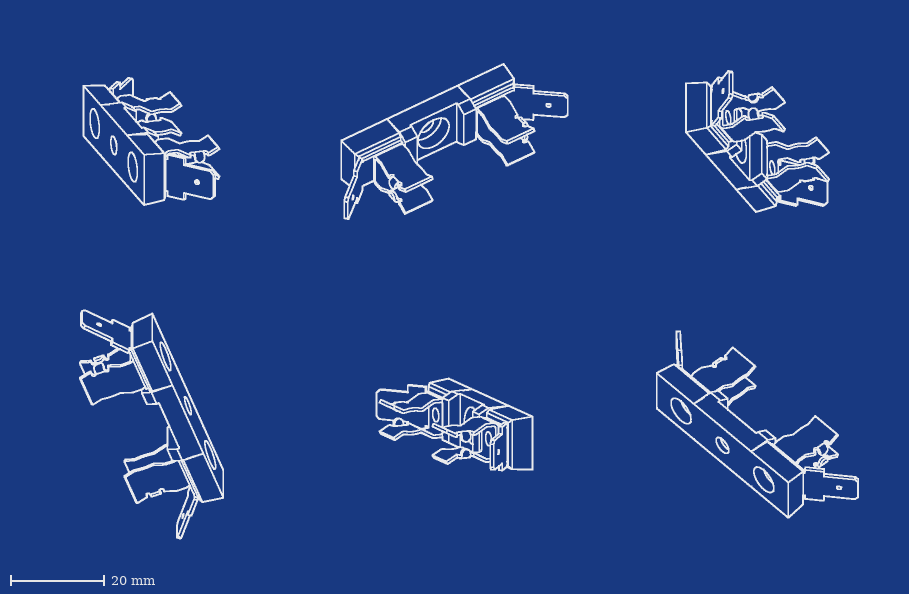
import cadquery as cq
import math

BASE_LENGTH = 41.9
BASE_WIDTH = 11.65
SEAT_TAPER = 5.0
SEAT_EDGE_HEIGHT = 4.7
SEAT_HEIGHT = 5.25
SEAT_BEVEL = 48.0
MIDDLE_HALF_LENGTH = 9.1
MIDDLE_FLOOR = 4.3
STOP_HEIGHT = 7.1
STOP_INNER_X = 6.0
STOP_BEVEL_START = 4.85
STOP_TOP_WIDTH = 9.25
MOUNTING_HOLE_DIAMETER = 4.0
SCREW_RECESS_DIAMETER = 8.0
SCREW_RECESS_FLOOR = 1.25

OVERALL_LENGTH = 57.7
TERMINAL_SHEET = 0.8
BLADE_ANGLE = 40.0
TERMINAL_BEND_RADIUS = 0.7
CORNER_X = 19.6
PLATE_WIDTH = 7.4
SHOULDER_END = 4.7
SHOULDER_WIDTH = 9.6
BLADE_WIDTH = 6.45
BLADE_CHAMFER = 0.7
BLADE_HOLE_DIAMETER = 1.0
BLADE_HOLE_DISTANCE = 7.95
BLADE_LENGTH = (OVERALL_LENGTH / 2 - CORNER_X) / math.cos(math.radians(BLADE_ANGLE))
TERMINAL_BEND_OUTER_RADIUS = TERMINAL_BEND_RADIUS + TERMINAL_SHEET
SHOULDER_START = TERMINAL_BEND_OUTER_RADIUS * math.tan(math.radians(BLADE_ANGLE / 2))

CLIP_OUTER_X = 16.6
CLIP_LENGTH = 7.0
CLIP_SHEET = 0.7
CLIP_BOTTOM = SEAT_HEIGHT + TERMINAL_SHEET
CLIP_HALF_WIDTH = 4.2
LEG_BEND_Y = 9.05
BULGE_CENTRE_Y = 13.9
BULGE_HALF_HEIGHT = 2.15
BULGE_RADIUS = 8.0
BULGE_TOP_Z = 2.95
TIP_ANGLE = 28.0
TIP_LENGTH = 2.35
BEND_INNER_RADIUS = 0.45
BEND_OUTER_RADIUS = BEND_INNER_RADIUS + CLIP_SHEET

TOOTH_WIDTH = 2.1
TOOTH_OUTER_X = 17.15
TOOTH_BEND_RADIUS = 1.1
NOTCH_WIDTH = 0.9
NOTCH_BOTTOM_X = 15.7

RIVET_X = 13.15
RECESS_DIAMETER = 6.35
RECESS_DEPTH = 3.0
RIVET_HEAD_DIAMETER = 5.0
RIVET_HEAD_DEPTH = 2.25
RIVET_SHANK_DIAMETER = 3.0


def cylinder_along_y(x, diameter, y_start, y_end):
    """Round bar parallel to Y, centred on Z = 0."""
    return (
        cq.Workplane("XZ", origin=(x, y_start, 0))
        .circle(diameter / 2)
        .extrude(y_start - y_end)
    )


def box(x_range, y_range, z_range):
    """Box between the given limits."""
    size = [limits[1] - limits[0] for limits in (x_range, y_range, z_range)]
    return cq.Workplane("XY").box(*size, centered=False).translate((x_range[0], y_range[0], z_range[0]))


def make_base():
    floor = cq.Plane(origin=(0, 0, 0), xDir=(-1, 0, 0), normal=(0, 1, 0))
    seats = cq.Workplane(floor).rect(BASE_LENGTH, BASE_WIDTH).extrude(SEAT_EDGE_HEIGHT, taper=SEAT_TAPER)
    bevels = (
        seats.faces(">Y").wires().toPending().workplane()
        .extrude(SEAT_HEIGHT - SEAT_EDGE_HEIGHT, taper=SEAT_BEVEL, combine=False)
    )
    middle_x = (-MIDDLE_HALF_LENGTH, MIDDLE_HALF_LENGTH)
    side_z = (-BASE_WIDTH / 2, BASE_WIDTH / 2)
    seats = seats.union(bevels).cut(box(middle_x, (0, SEAT_HEIGHT), side_z))

    middle = (
        cq.Workplane("YZ", origin=(-MIDDLE_HALF_LENGTH, 0, 0))
        .polyline([
            (0, -BASE_WIDTH / 2),
            (STOP_BEVEL_START, -BASE_WIDTH / 2),
            (STOP_HEIGHT, -STOP_TOP_WIDTH / 2),
            (STOP_HEIGHT, STOP_TOP_WIDTH / 2),
            (STOP_BEVEL_START, BASE_WIDTH / 2),
            (0, BASE_WIDTH / 2),
        ])
        .close()
        .extrude(2 * MIDDLE_HALF_LENGTH)
        .cut(box((-STOP_INNER_X, STOP_INNER_X), (MIDDLE_FLOOR, STOP_HEIGHT), side_z))
    )

    base = seats.union(middle)
    base = base.cut(cylinder_along_y(0, MOUNTING_HOLE_DIAMETER, 0, MIDDLE_FLOOR))
    base = base.cut(cylinder_along_y(0, SCREW_RECESS_DIAMETER, SCREW_RECESS_FLOOR, MIDDLE_FLOOR))
    for x in (-RIVET_X, RIVET_X):
        base = base.cut(cylinder_along_y(x, RECESS_DIAMETER, 0, RECESS_DEPTH))
        base = base.cut(cylinder_along_y(x, RIVET_SHANK_DIAMETER, 0, SEAT_HEIGHT))
    return base


def make_terminal():
    """Terminal at the -X end."""
    angle = math.radians(BLADE_ANGLE)
    run, rise = math.cos(angle), math.sin(angle)
    bend_x = -CORNER_X + SHOULDER_START
    plate_top = SEAT_HEIGHT + TERMINAL_SHEET
    bend_end = (-CORNER_X - SHOULDER_START * run, SEAT_HEIGHT + SHOULDER_START * rise)
    upper_bend_end = (bend_end[0] + TERMINAL_SHEET * rise, bend_end[1] + TERMINAL_SHEET * run)
    plate = (
        cq.Workplane("XY", origin=(0, 0, -PLATE_WIDTH / 2))
        .moveTo(-MIDDLE_HALF_LENGTH, SEAT_HEIGHT)
        .lineTo(bend_x, SEAT_HEIGHT)
        .radiusArc(bend_end, TERMINAL_BEND_OUTER_RADIUS)
        .lineTo(*upper_bend_end)
        .radiusArc((bend_x, plate_top), -TERMINAL_BEND_RADIUS)
        .lineTo(-MIDDLE_HALF_LENGTH, plate_top)
        .close()
        .extrude(PLATE_WIDTH)
    )

    blade_plane = cq.Plane(origin=(-CORNER_X, SEAT_HEIGHT, 0), xDir=(-run, rise, 0), normal=(rise, run, 0))
    shoulder_length = SHOULDER_END - SHOULDER_START
    shoulder = (
        cq.Workplane(blade_plane)
        .center(SHOULDER_START + shoulder_length / 2, 0)
        .rect(shoulder_length, SHOULDER_WIDTH)
        .extrude(TERMINAL_SHEET)
    )
    half_width = BLADE_WIDTH / 2
    blade = (
        cq.Workplane(blade_plane)
        .polyline([
            (SHOULDER_START, -half_width),
            (BLADE_LENGTH - BLADE_CHAMFER, -half_width),
            (BLADE_LENGTH, -half_width + BLADE_CHAMFER),
            (BLADE_LENGTH, half_width - BLADE_CHAMFER),
            (BLADE_LENGTH - BLADE_CHAMFER, half_width),
            (SHOULDER_START, half_width),
        ])
        .close()
        .extrude(TERMINAL_SHEET)
    )
    blade_hole = (
        cq.Workplane(blade_plane)
        .center(BLADE_HOLE_DISTANCE, 0)
        .circle(BLADE_HOLE_DIAMETER / 2)
        .extrude(TERMINAL_SHEET)
    )
    rivet_hole = cylinder_along_y(-RIVET_X, RIVET_SHANK_DIAMETER, SEAT_HEIGHT, SEAT_HEIGHT + TERMINAL_SHEET)
    return plate.union(shoulder).union(blade).cut(blade_hole).cut(rivet_hole)


def inner_bend_point(point, angle_before, angle_after):
    """Bend point on the inside of the sheet; angles are directions from +Y towards +Z."""
    middle = (angle_before + angle_after) / 2
    miter = CLIP_SHEET / math.cos((angle_after - angle_before) / 2)
    return (point[0] + miter * math.sin(middle), point[1] - miter * math.cos(middle))


def make_leg():
    """Half of the channel at the -X end: half the bottom and the +Z leg, with its bends rounded."""
    bulge_angle = math.asin(BULGE_HALF_HEIGHT / BULGE_RADIUS)
    valley_z = BULGE_TOP_Z - BULGE_RADIUS * (1 - math.cos(bulge_angle))
    lower_valley = (BULGE_CENTRE_Y - BULGE_HALF_HEIGHT, valley_z)
    upper_valley = (BULGE_CENTRE_Y + BULGE_HALF_HEIGHT, valley_z)
    corner = (CLIP_BOTTOM, CLIP_HALF_WIDTH)
    leg_bend = (LEG_BEND_Y, CLIP_HALF_WIDTH)
    pinch_angle = math.atan2(lower_valley[1] - leg_bend[1], lower_valley[0] - leg_bend[0])
    tip_angle = math.radians(TIP_ANGLE)
    tip = (
        upper_valley[0] + TIP_LENGTH * math.cos(tip_angle),
        upper_valley[1] + TIP_LENGTH * math.sin(tip_angle),
    )

    inner_corner = inner_bend_point(corner, math.pi / 2, 0)
    inner_leg_bend = inner_bend_point(leg_bend, 0, pinch_angle)
    inner_lower_valley = inner_bend_point(lower_valley, pinch_angle, bulge_angle)
    inner_upper_valley = inner_bend_point(upper_valley, -bulge_angle, tip_angle)
    inner_tip = inner_bend_point(tip, tip_angle, tip_angle)

    leg = (
        cq.Workplane("YZ", origin=(-CLIP_OUTER_X, 0, 0))
        .moveTo(CLIP_BOTTOM, 0)
        .lineTo(*corner)
        .lineTo(*leg_bend)
        .lineTo(*lower_valley)
        .threePointArc((BULGE_CENTRE_Y, BULGE_TOP_Z), upper_valley)
        .lineTo(*tip)
        .lineTo(*inner_tip)
        .lineTo(*inner_upper_valley)
        .threePointArc((BULGE_CENTRE_Y, BULGE_TOP_Z - CLIP_SHEET), inner_lower_valley)
        .lineTo(*inner_leg_bend)
        .lineTo(*inner_corner)
        .lineTo(inner_corner[0], 0)
        .close()
        .extrude(CLIP_LENGTH)
    )
    outside_bends = [corner, leg_bend, inner_lower_valley, inner_upper_valley]
    inside_bends = [inner_corner, inner_leg_bend, lower_valley, upper_valley]
    middle_x = -CLIP_OUTER_X + CLIP_LENGTH / 2
    for bends, radius in ((outside_bends, BEND_OUTER_RADIUS), (inside_bends, BEND_INNER_RADIUS)):
        for y, z in bends:
            leg = leg.edges(cq.selectors.NearestToPointSelector((middle_x, y, z))).fillet(radius)
    return leg


def make_tooth():
    """Bent tongue of the +Z leg with a round end."""
    inner_top = BULGE_TOP_Z - CLIP_SHEET
    bend_z = BULGE_TOP_Z - TOOTH_BEND_RADIUS
    bend_x = -TOOTH_OUTER_X + TOOTH_BEND_RADIUS
    end_z = bend_z - TOOTH_WIDTH / 2
    strip = (
        cq.Workplane("XZ", origin=(0, BULGE_CENTRE_Y + TOOTH_WIDTH / 2, 0))
        .moveTo(bend_x, BULGE_TOP_Z)
        .radiusArc((-TOOTH_OUTER_X, bend_z), -TOOTH_BEND_RADIUS)
        .lineTo(-TOOTH_OUTER_X, end_z)
        .lineTo(-TOOTH_OUTER_X + CLIP_SHEET, end_z)
        .lineTo(-TOOTH_OUTER_X + CLIP_SHEET, bend_z)
        .radiusArc((bend_x, inner_top), TOOTH_BEND_RADIUS - CLIP_SHEET)
        .close()
        .extrude(TOOTH_WIDTH)
    )
    round_end = (
        cq.Workplane("YZ", origin=(-TOOTH_OUTER_X, BULGE_CENTRE_Y, 0))
        .moveTo(-TOOTH_WIDTH / 2, BULGE_TOP_Z)
        .lineTo(-TOOTH_WIDTH / 2, bend_z)
        .threePointArc((0, end_z), (TOOTH_WIDTH / 2, bend_z))
        .lineTo(TOOTH_WIDTH / 2, BULGE_TOP_Z)
        .close()
        .extrude(TOOTH_OUTER_X - NOTCH_BOTTOM_X)
    )
    return strip.intersect(round_end)


def make_clip():
    """Clip at the -X end."""
    leg = make_leg()
    leg_z = (0, CLIP_HALF_WIDTH)
    notch_radius = NOTCH_WIDTH / 2
    notch_centre_x = -NOTCH_BOTTOM_X - notch_radius
    for side in (-1, 1):
        centre_y = BULGE_CENTRE_Y + side * (TOOTH_WIDTH + NOTCH_WIDTH) / 2
        notch_y = (centre_y - notch_radius, centre_y + notch_radius)
        round_bottom = (
            cq.Workplane("XY", origin=(notch_centre_x, centre_y, 0))
            .circle(notch_radius)
            .extrude(CLIP_HALF_WIDTH)
        )
        leg = leg.cut(box((-CLIP_OUTER_X, notch_centre_x), notch_y, leg_z)).cut(round_bottom)

    tongue_y = (BULGE_CENTRE_Y - TOOTH_WIDTH / 2, BULGE_CENTRE_Y + TOOTH_WIDTH / 2)
    tongue_x = (-CLIP_OUTER_X, -TOOTH_OUTER_X + TOOTH_BEND_RADIUS)
    leg = leg.cut(box(tongue_x, tongue_y, leg_z)).union(make_tooth())

    clip = leg.union(leg.mirror("XY"))
    return clip.cut(cylinder_along_y(-RIVET_X, RIVET_SHANK_DIAMETER, CLIP_BOTTOM, CLIP_BOTTOM + CLIP_SHEET))


def make_rivet():
    """Rivet at the -X end, flush with the inside of the clip."""
    head = cylinder_along_y(-RIVET_X, RIVET_HEAD_DIAMETER, RIVET_HEAD_DEPTH, RECESS_DEPTH)
    shank = cylinder_along_y(-RIVET_X, RIVET_SHANK_DIAMETER, RECESS_DEPTH, CLIP_BOTTOM + CLIP_SHEET)
    return head.union(shank)


bodies = [make_base().val()]
for make_part in (make_terminal, make_clip, make_rivet):
    left_part = make_part()
    bodies.append(left_part.val())
    bodies.append(left_part.mirror("YZ").val())

result = cq.Compound.makeCompound(bodies)